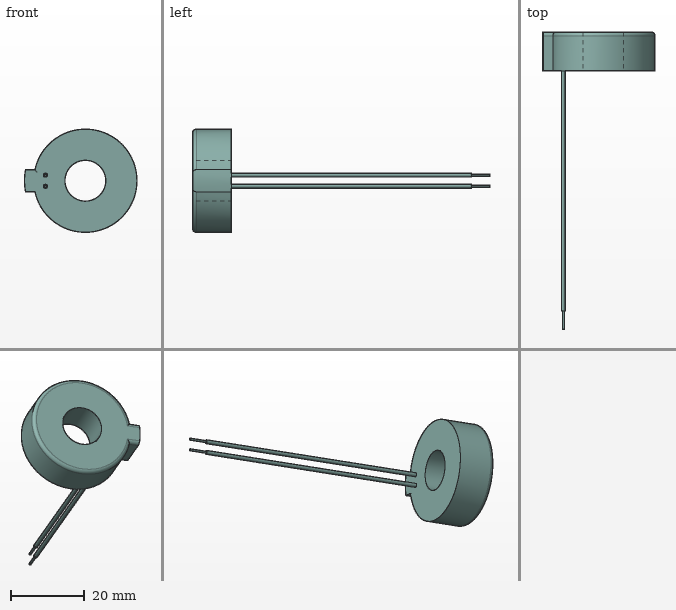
import cadquery as cq
import math

body_radius = 14.0
bore_radius = 5.5
body_depth = 10.5
back_fillet = 1.0

tab_width = 6.0
tab_tip_radius = 16.5

wire_x = -10.8
wire_spacing = 3.0
wire_length = 70.0
insulation_diameter = 1.1
conductor_diameter = 0.6
stripped_length = 5.0


def make_body():
    """Ring outline with the tab, extruded from the front face to the back face."""
    half_width = tab_width / 2
    root_x = -math.sqrt(body_radius**2 - half_width**2)
    tip_x = -math.sqrt(tab_tip_radius**2 - half_width**2)
    body = (
        cq.Workplane("XZ")
        .moveTo(root_x, half_width)
        .threePointArc((body_radius, 0), (root_x, -half_width))
        .lineTo(tip_x, -half_width)
        .threePointArc((-tab_tip_radius, 0), (tip_x, half_width))
        .close()
        .extrude(-body_depth)
    )
    tip_edge = cq.selectors.NearestToPointSelector((-tab_tip_radius, body_depth, 0))
    rim_edges = cq.selectors.StringSyntaxSelector(">Y")
    body = body.faces(">Y").edges(rim_edges - tip_edge).fillet(back_fillet)
    bore = cq.Workplane("XZ").circle(bore_radius).extrude(-body_depth)
    return body.cut(bore)


def make_wire(z):
    """Insulated wire with a stripped end, starting on the front face at height z."""
    front_face = cq.Workplane("XZ").center(wire_x, z)
    insulation = front_face.circle(insulation_diameter / 2).extrude(wire_length - stripped_length)
    conductor = front_face.circle(conductor_diameter / 2).extrude(wire_length)
    return insulation.union(conductor)


result = make_body()
for side in (-1, 1):
    result = result.union(make_wire(side * wire_spacing / 2))